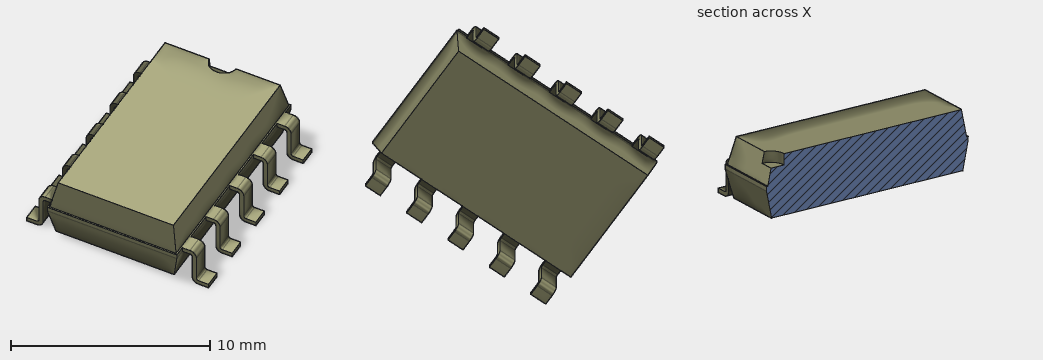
import cadquery as cq

overall_width = 10.31
body_length = 12.25
overall_height = 3.68

body_width = 7.35
half_height = 1.54
half_taper = 0.32
upper_step = 0.09
lead_thickness = 0.25
band_top = overall_height - half_height
band_bottom = band_top - lead_thickness

notch_radius = 0.77
notch_depth = 0.61
notch_center_inset = 0.3

leads_per_side = 5
lead_pitch = 2.54
lead_width = 0.92
foot_reach = 0.69
inner_bend = 0.12
outer_bend = inner_bend + lead_thickness
lead_embed = 0.25


def tapered_half(base_z, base_inset, rise):
    """Frustum from an inset body outline at base_z; rise may point up or down."""
    width = body_width - 2 * base_inset
    length = body_length - 2 * base_inset
    return (
        cq.Workplane("XY", origin=(0, 0, base_z))
        .rect(width, length)
        .workplane(offset=rise)
        .rect(width - 2 * half_taper, length - 2 * half_taper)
        .loft(ruled=True)
    )


def make_body():
    band = (
        cq.Workplane("XY", origin=(0, 0, band_bottom))
        .rect(body_width, body_length)
        .extrude(lead_thickness)
    )
    upper = tapered_half(band_top, upper_step, half_height)
    lower = tapered_half(band_bottom, 0, -half_height)
    notch = (
        cq.Workplane("XY", origin=(0, body_length / 2 - notch_center_inset, overall_height))
        .circle(notch_radius)
        .extrude(-notch_depth)
    )
    return band.union(upper).union(lower).cut(notch)


def make_lead():
    """One lead on the +X side, centred on Y = 0, with its foot resting on Z = 0."""
    tip_x = overall_width / 2
    outer_x = tip_x - foot_reach
    inner_x = outer_x - lead_thickness
    root_x = body_width / 2 - lead_embed
    lead = (
        cq.Workplane("XZ")
        .moveTo(root_x, band_top)
        .lineTo(outer_x - outer_bend, band_top)
        .radiusArc((outer_x, band_top - outer_bend), outer_bend)
        .lineTo(outer_x, lead_thickness + inner_bend)
        .radiusArc((outer_x + inner_bend, lead_thickness), -inner_bend)
        .lineTo(tip_x, lead_thickness)
        .lineTo(tip_x, 0)
        .lineTo(inner_x + outer_bend, 0)
        .radiusArc((inner_x, outer_bend), outer_bend)
        .lineTo(inner_x, band_bottom - inner_bend)
        .radiusArc((inner_x - inner_bend, band_bottom), -inner_bend)
        .lineTo(root_x, band_bottom)
        .close()
        .extrude(lead_width / 2, both=True)
    )
    return lead


result = make_body()
right_lead = make_lead()
left_lead = right_lead.mirror("YZ")
for index in range(leads_per_side):
    lead_y = (index - (leads_per_side - 1) / 2) * lead_pitch
    for lead in (right_lead, left_lead):
        result = result.union(lead.translate((0, lead_y, 0)))